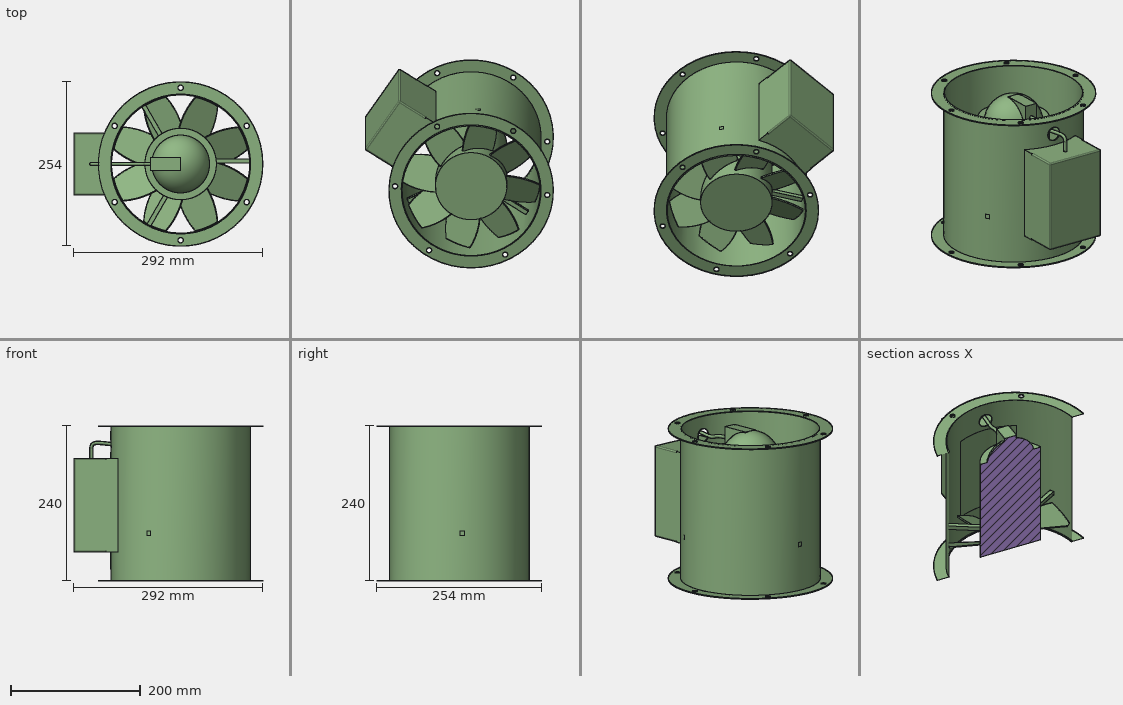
import cadquery as cq

height = 240.0
flange_radius = 127.0
flange_thickness = 1.5
casing_radius = 108.0
wall = 1.5
bore_radius = casing_radius - wall
bolt_circle_radius = 117.7
bolt_hole_diameter = 8.0
bolt_count = 6
cable_hole_radius = 10.8
cable_hole_z = 88.2

box_face_x = -165.0
box_width = 96.5
box_top = 69.8
box_height = 144.8
box_body_end_x = -115.5
box_edge_radius = 2.0

hub_radius = 55.2
hub_top = 79.5
hub_bottom = -99.3
dome_radius = 44.7
dome_height = 36.2
connector_length = 46.7
connector_width = 20.5

strut_count = 3
strut_size = 6.7
strut_offset = 4.7
strut_z = -45.8

blade_count = 8
blade_thickness = 2.3
blade_pitch = 30.0
blade_z = -76.0
blade_tip_radius = 105.7
blade_inset = 4.5
blade_root_half_width = 27.2
blade_mid_half_width = 27.5
blade_tip_half_width = 19.5

cable_radius = 2.5
cable_x = -137.8
cable_bend_start_z = 85.8
cable_crest_x = -122.5
cable_crest_z = 93.5
cable_inset = 3.0
cable_sag_x = -84.7
cable_sag_z = 90.2
cable_plug_z = 95.0
cable_plug_length = 10.2


def cylinder(radius, bottom, top):
    return cq.Workplane("XY", origin=(0, 0, bottom)).circle(radius).extrude(top - bottom)


def make_casing():
    half = height / 2
    casing = cylinder(casing_radius, -half, half)
    for bottom in (-half, half - flange_thickness):
        casing = casing.union(cylinder(flange_radius, bottom, bottom + flange_thickness))
    casing = casing.cut(cylinder(bore_radius, -half, half))
    bolt_holes = (
        cq.Workplane("XY", origin=(0, 0, -half))
        .polarArray(bolt_circle_radius, 90, 360, bolt_count)
        .circle(bolt_hole_diameter / 2)
        .extrude(height)
    )
    cable_hole = (
        cq.Workplane("YZ", origin=(-flange_radius, 0, cable_hole_z))
        .circle(cable_hole_radius)
        .extrude(flange_radius)
    )
    return casing.cut(bolt_holes).cut(cable_hole)


def box_section(start_x, end_x):
    """A stretch of the terminal box along X, with sharp edges."""
    return (
        cq.Workplane("YZ", origin=(start_x, 0, box_top - box_height / 2))
        .rect(box_width, box_height)
        .extrude(end_x - start_x)
    )


def make_terminal_box():
    """Rounded body, then a sharp-edged neck that meets the casing wall."""
    body = box_section(box_face_x, box_body_end_x)
    body = body.edges("|X or <X").fillet(box_edge_radius)
    neck = box_section(box_body_end_x, 0).cut(cylinder(bore_radius, -height / 2, height / 2))
    return body.union(neck)


def make_hub():
    hub = cylinder(hub_radius, hub_bottom, hub_top)
    apex = hub_top + dome_height
    sphere_radius = (dome_radius**2 + dome_height**2) / (2 * dome_height)
    dome = cq.Workplane("XY").sphere(sphere_radius).translate((0, 0, apex - sphere_radius))
    dome = dome.intersect(cylinder(dome_radius, hub_top, apex))
    connector = (
        cq.Workplane("XY", origin=(-connector_length / 2, 0, hub_top))
        .rect(connector_length, connector_width)
        .extrude(dome_height)
    )
    return hub.union(dome).union(connector)


def make_strut():
    """One bar along +X from the hub into the casing wall."""
    inner_end = hub_radius / 2
    outer_end = casing_radius - wall / 2
    return (
        cq.Workplane("YZ", origin=(inner_end, strut_offset, strut_z))
        .rect(strut_size, strut_size)
        .extrude(outer_end - inner_end)
    )


def make_blade():
    """One blade along +X: a flat plate turned to its pitch and trimmed to the tip radius."""
    root = hub_radius - blade_inset
    end = casing_radius
    middle = (root + end) / 2
    plate = (
        cq.Workplane("XY", origin=(0, 0, -blade_thickness / 2))
        .moveTo(root, -blade_root_half_width)
        .threePointArc((middle, -blade_mid_half_width), (end, -blade_tip_half_width))
        .lineTo(end, blade_tip_half_width)
        .threePointArc((middle, blade_mid_half_width), (root, blade_root_half_width))
        .close()
        .extrude(blade_thickness)
    )
    plate = plate.rotate((0, 0, 0), (1, 0, 0), blade_pitch).translate((0, 0, blade_z))
    return plate.intersect(cylinder(blade_tip_radius, -height / 2, height / 2))


def make_cable():
    """Round cable: up from the box, over through the wall hole, then straight into the block."""
    start_z = box_top - cable_inset
    plug_x = -connector_length - cable_plug_length
    path = (
        cq.Workplane("XZ")
        .moveTo(cable_x, start_z)
        .lineTo(cable_x, cable_bend_start_z)
        .spline(
            [(cable_crest_x, cable_crest_z), (cable_sag_x, cable_sag_z), (plug_x, cable_plug_z)],
            tangents=[(0, 1), (1, 0)],
            includeCurrent=True,
        )
        .lineTo(cable_inset - connector_length, cable_plug_z)
    )
    return cq.Workplane("XY", origin=(cable_x, 0, start_z)).circle(cable_radius).sweep(path)


def around_axis(shape, angle):
    return shape.rotate((0, 0, 0), (0, 0, 1), angle)


result = make_casing().union(make_terminal_box()).union(make_hub())
for index in range(strut_count):
    result = result.union(around_axis(make_strut(), index * 360 / strut_count))
for index in range(blade_count):
    result = result.union(around_axis(make_blade(), (index + 0.5) * 360 / blade_count))
result = result.union(make_cable())